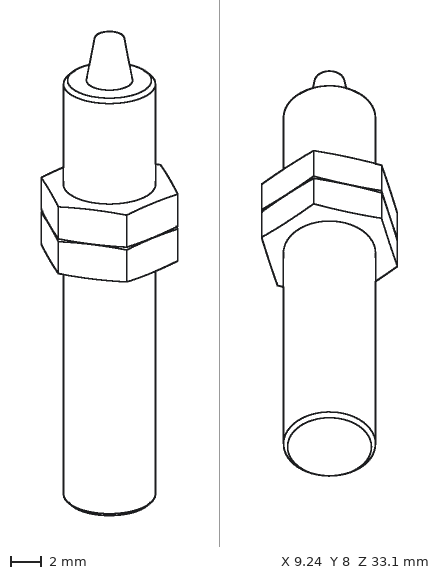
import cadquery as cq
import math

total_height = 33.1
shaft_diameter = 6.0
shaft_height = 30.0
shaft_end_diameter = 5.45
shaft_chamfer = (shaft_diameter - shaft_end_diameter) / 2
tip_base_diameter = 3.0
tip_top_diameter = 1.92
tip_fillet = 0.15

nut_count = 2
nut_stack_bottom = 17.5
nut_stack_top = 22.5
nut_height = (nut_stack_top - nut_stack_bottom) / nut_count
nut_across_flats = 8.0
nut_across_corners = nut_across_flats / math.cos(math.pi / 6)
nut_face_diameter = 7.8
nut_corner_drop = 0.1


def make_sensor():
    """Round shaft chamfered at both ends, with a tapered, round-edged tip on top."""
    shaft = cq.Workplane("XY").circle(shaft_diameter / 2).extrude(shaft_height)
    shaft = shaft.faces("<Z or >Z").chamfer(shaft_chamfer)
    tip_solid = cq.Solid.makeCone(
        tip_base_diameter / 2,
        tip_top_diameter / 2,
        total_height - shaft_height,
        pnt=cq.Vector(0, 0, shaft_height),
    )
    tip = cq.Workplane(tip_solid).faces(">Z").fillet(tip_fillet)
    return shaft.union(tip)


def make_nut(bottom):
    """Hexagon nut with conically chamfered corners and a bore fitting the shaft."""
    hexagon = cq.Workplane("XY").polygon(6, nut_across_corners).extrude(nut_height)
    face_radius = nut_face_diameter / 2
    corner_radius = nut_across_corners / 2
    corner_envelope = (
        cq.Workplane("XZ")
        .moveTo(0, 0)
        .lineTo(face_radius, 0)
        .lineTo(corner_radius, nut_corner_drop)
        .lineTo(corner_radius, nut_height - nut_corner_drop)
        .lineTo(face_radius, nut_height)
        .lineTo(0, nut_height)
        .close()
        .revolve(360, (0, 0, 0), (0, 1, 0))
    )
    bore = cq.Workplane("XY").circle(shaft_diameter / 2).extrude(nut_height)
    nut = hexagon.intersect(corner_envelope).cut(bore)
    return nut.translate((0, 0, bottom))


sensor = make_sensor()
nuts = [make_nut(nut_stack_bottom + index * nut_height) for index in range(nut_count)]

result = cq.Compound.makeCompound([sensor.val(), *[nut.val() for nut in nuts]])